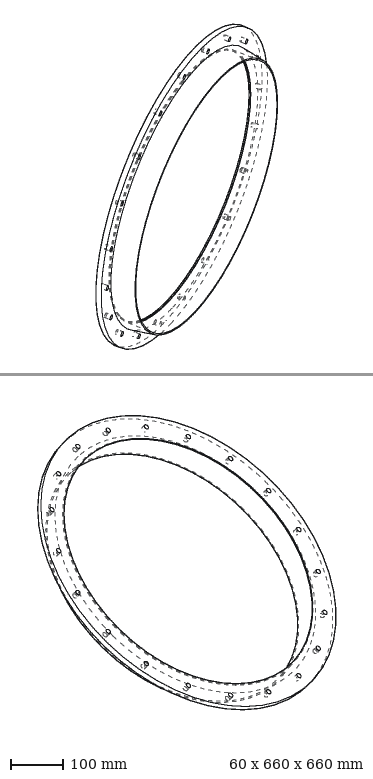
import cadquery as cq
import math

flange_diameter = 660.0
flange_thickness = 12.0
total_length = 60.0

bore_diameter = 560.0
lip_diameter = 556.0
lip_width = 3.0

collar_tip_diameter = 566.0
collar_taper_angle = 10.0
collar_length = total_length - flange_thickness
collar_taper_height = collar_length * math.tan(math.radians(collar_taper_angle))
collar_root_diameter = collar_tip_diameter + 2 * collar_taper_height

bolt_count = 20
bolt_hole_diameter = 9.5
bolt_circle_diameter = 610.0


def make_ring():
    """Flange, tapered collar and lipped bore, revolved about X from one half section."""
    half_section = (
        cq.Workplane("XY")
        .moveTo(0, lip_diameter / 2)
        .lineTo(0, flange_diameter / 2)
        .lineTo(flange_thickness, flange_diameter / 2)
        .lineTo(flange_thickness, collar_root_diameter / 2)
        .lineTo(total_length, collar_tip_diameter / 2)
        .lineTo(total_length, bore_diameter / 2)
        .lineTo(lip_width, bore_diameter / 2)
        .lineTo(lip_width, lip_diameter / 2)
        .close()
    )
    return half_section.revolve(360, (0, 0, 0), (1, 0, 0))


def make_bolt_holes():
    """Cylinders through the flange, the first one on the +Y axis."""
    return (
        cq.Workplane("YZ")
        .polarArray(bolt_circle_diameter / 2, 0, 360, bolt_count)
        .circle(bolt_hole_diameter / 2)
        .extrude(flange_thickness)
    )


result = make_ring().cut(make_bolt_holes())